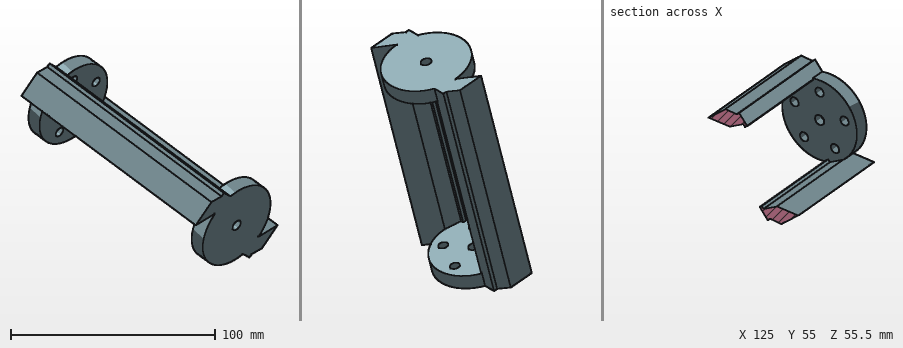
import cadquery as cq

length = 125.0
plate_diameter = 45.6
plate_thickness = 8.0

shaft_hole_diameter = 5.5
counterbore_diameter = 12.0
counterbore_depth = 3.0
bolt_hole_diameter = 5.0
bolt_circle_diameter = 32.0
bolt_count = 5
first_bolt_angle = 90.0
full_turn = 360.0

cutting_tip = (-27.51, 18.1)
outer_shoulder = (-16.95, 27.0)
notch_root = (-10.15, 26.4)
ridge_peak = (-8.6, 27.735)
back_foot = (-3.68, 21.85)
inner_ridge = (-5.2, 20.65)
inner_groove = (-6.3, 21.9)
inner_shoulder = (-14.35, 17.55)
blade_outline = [
    cutting_tip,
    outer_shoulder,
    notch_root,
    ridge_peak,
    back_foot,
    inner_ridge,
    inner_groove,
    inner_shoulder,
]


def section_plane(x):
    """Plane across the rotor axis at x, with sketch axes along +Y and +Z."""
    return cq.Workplane("YZ", origin=(x, 0, 0))


def end_plate(x):
    """Round plate whose -X face lies at x."""
    return section_plane(x).circle(plate_diameter / 2).extrude(plate_thickness)


def blade():
    """Full-length blade with a constant section."""
    return section_plane(0).polyline(blade_outline).close().extrude(length)


def shaft_bore():
    """Bore through both plates, along the whole axis."""
    return section_plane(0).circle(shaft_hole_diameter / 2).extrude(length)


def counterbore():
    """Recess around the shaft bore in the outer face of the -X plate."""
    return section_plane(0).circle(counterbore_diameter / 2).extrude(counterbore_depth)


def bolt_holes():
    """Ring of holes through the -X plate, the first one straight above the axis."""
    return (
        section_plane(0)
        .polarArray(bolt_circle_diameter / 2, first_bolt_angle, full_turn, bolt_count)
        .circle(bolt_hole_diameter / 2)
        .extrude(plate_thickness)
    )


first_blade = blade()
opposite_blade = first_blade.rotate((0, 0, 0), (1, 0, 0), full_turn / 2)

result = end_plate(0).union(end_plate(length - plate_thickness))
result = result.union(first_blade).union(opposite_blade)
result = result.cut(shaft_bore()).cut(counterbore()).cut(bolt_holes())